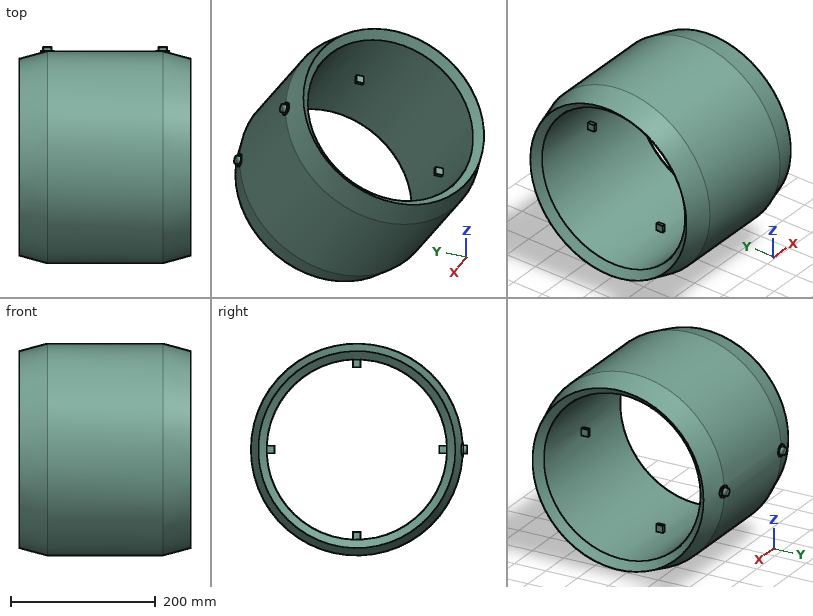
import cadquery as cq

length = 237.0
outer_radius = 146.5
bore_radius = 124.5
end_radius = 136.0
taper_length = 39.0
bevel_depth = end_radius - bore_radius

tab_count = 4
tab_width = 10.8
tab_height = 10.8
tab_thickness = 5.0
tab_embed = 3.0

stud_top = 152.5
stud_diameter = 12.0
stud_fillet = 1.2
collar_diameter = 18.0
collar_top = 146.8
stud_root = (outer_radius + bore_radius) / 2

half_length = length / 2
edge_x = half_length - taper_length


def make_sleeve():
    """Tube with a conical taper outside and a bevel inside at each end."""
    profile = [
        (-half_length + bevel_depth, bore_radius),
        (-half_length, end_radius),
        (-edge_x, outer_radius),
        (edge_x, outer_radius),
        (half_length, end_radius),
        (half_length - bevel_depth, bore_radius),
    ]
    return cq.Workplane("XY").polyline(profile).close().revolve(360, (0, 0, 0), (1, 0, 0))


def make_tab(angle):
    """Small block rooted in the wall and pointing at the axis."""
    block_height = tab_height + tab_embed
    centre_radius = bore_radius + tab_embed - block_height / 2
    block = cq.Workplane("XY").box(tab_thickness, tab_width, block_height)
    return block.translate((0, 0, centre_radius)).rotate((0, 0, 0), (1, 0, 0), angle)


def make_post(x, diameter, top):
    """Round post along +Y from inside the wall up to the given Y."""
    base = cq.Workplane("XZ", origin=(x, stud_root, 0))
    return base.circle(diameter / 2).extrude(stud_root - top)


def make_stud(x):
    """Rounded stud standing on a wider collar."""
    stud = make_post(x, stud_diameter, stud_top).faces(">Y").fillet(stud_fillet)
    return stud.union(make_post(x, collar_diameter, collar_top))


result = make_sleeve()
for index in range(tab_count):
    result = result.union(make_tab(index * 360 / tab_count))
for stud_x in (-edge_x, edge_x):
    result = result.union(make_stud(stud_x))